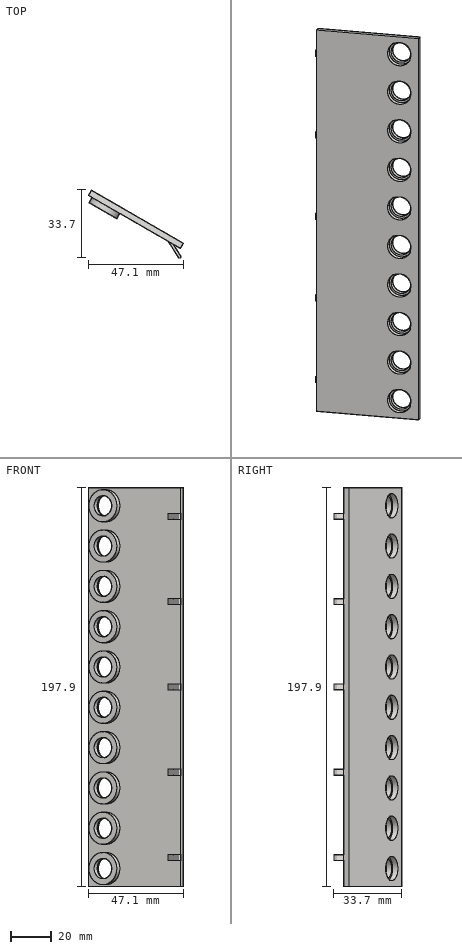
import cadquery as cq
import math

plate_turn = 30.0
plate_width = 52.7
plate_thickness = 3.0
plate_height = 197.9

boss_count = 10
boss_pitch = 20.0
boss_diameter = 16.0
boss_height = 3.0
boss_from_edge = 10.0
boss_hole_diameter = 10.0
plate_hole_diameter = 12.0
first_boss_z = (plate_height - (boss_count - 1) * boss_pitch) / 2

tab_count = 5
tab_pitch = 42.33
first_tab_z = 14.4
tab_height = 3.0
tab_thickness = 1.4
tab_length = 10.12
tab_tip_rise = 0.56
tab_lean = 27.7
tab_from_edge = 45.7



def make_plate():
    """Flat rectangular plate behind the front face."""
    return cq.Workplane("XY").box(plate_width, plate_thickness, plate_height, centered=False)


def column_disc(diameter, start_y, end_y, z):
    """Cylinder along Y on the boss column, from start_y to end_y."""
    plane = cq.Plane(origin=(boss_from_edge, start_y, z), xDir=(1, 0, 0), normal=(0, 1, 0))
    return cq.Workplane(plane).circle(diameter / 2).extrude(end_y - start_y)


def add_ring_boss(body, z):
    """Boss with a narrow bore that opens into a wider hole through the plate."""
    body = body.union(column_disc(boss_diameter, -boss_height, 0, z))
    body = body.cut(column_disc(boss_hole_diameter, -boss_height, 0, z))
    return body.cut(column_disc(plate_hole_diameter, 0, plate_thickness, z))


def make_tab(z):
    """Straight tab with a rounded tip, its slanted root lying on the front face."""
    root_offset = tab_thickness / math.tan(math.radians(tab_lean))
    corner_x = tab_length - tab_tip_rise
    return (
        cq.Workplane("XY")
        .moveTo(0, 0)
        .lineTo(corner_x, 0)
        .threePointArc((tab_length, tab_thickness / 2), (corner_x, tab_thickness))
        .lineTo(root_offset, tab_thickness)
        .close()
        .extrude(tab_height)
        .rotate((0, 0, 0), (0, 0, 1), -tab_lean)
        .translate((tab_from_edge, 0, z - tab_height / 2))
    )


part = make_plate()

for index in range(boss_count):
    part = add_ring_boss(part, first_boss_z + index * boss_pitch)

for index in range(tab_count):
    part = part.union(make_tab(first_tab_z + index * tab_pitch))

result = part.rotate((0, 0, 0), (0, 0, 1), -plate_turn)